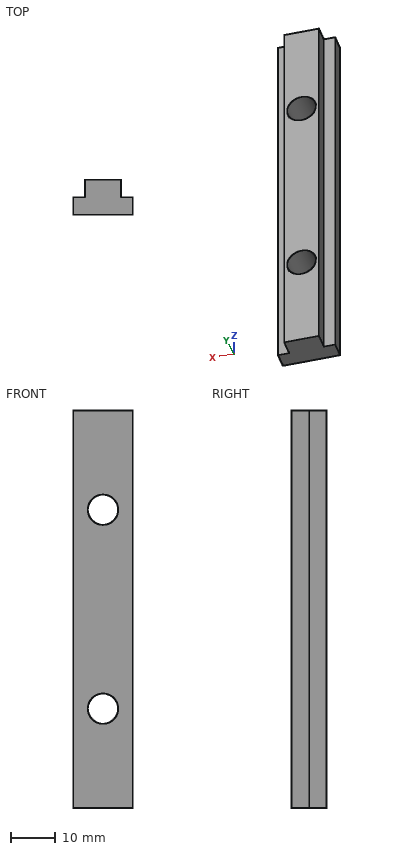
import cadquery as cq

length = 90.0
total_depth = 8.0
flange_width = 13.5
flange_thickness = total_depth / 2
stem_width = 8.2
hole_diameter = 6.8
hole_spacing = length / 2


def bar(width, depth):
    """Full-length bar centred on X and Z, with its -Y face at Y = 0."""
    return cq.Workplane("XY").box(width, depth, length, centered=(True, False, True))


def cross_hole(z):
    """Cylinder along Y, through the full depth, at height z."""
    return (
        cq.Workplane("XZ")
        .center(0, z)
        .circle(hole_diameter / 2)
        .extrude(-total_depth)
    )


result = bar(flange_width, flange_thickness).union(bar(stem_width, total_depth))

for side in (-1, 1):
    result = result.cut(cross_hole(side * hole_spacing / 2))